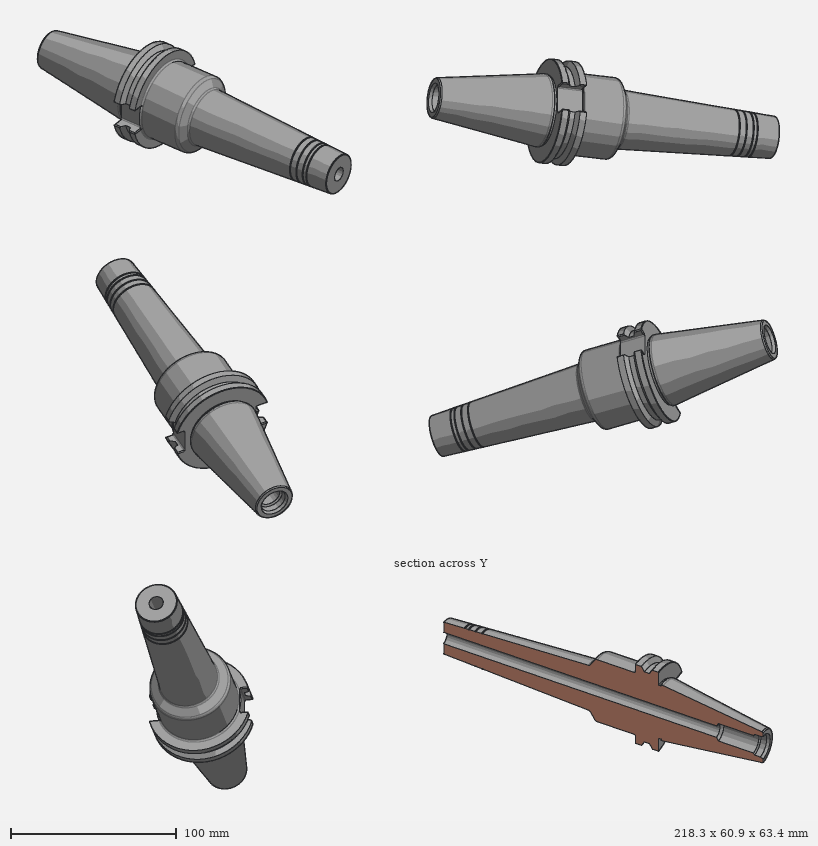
import cadquery as cq
import math

length = 218.3
flange_start = 71.4
flange_end = 87.3

gauge_x = 68.3
gauge_radius = 22.3
taper_slope = 7 / 48
taper_edge_break = 0.5
taper_edge_length = 0.9

neck_start = 69.8
neck_radius = 21.5

flange_radius = 31.7
flange_edge_break = 0.33
groove_centre = 79.5
groove_floor_radius = 28.2
groove_floor_width = 3.3
groove_flank_angle = 30.0

slot_width = 16.2
slot_floor_front = 22.7
slot_floor_back = 25.0
slot_edge_break = 0.7
slot_corner_radius = 0.7
slot_overcut = 2.2

body_radius = 24.9
body_root_radius = 1.0
shoulder_angle = 60.0
shoulder_outer_rounding = 2.5
shoulder_inner_rounding = 1.5

nose_start = 118.5
nose_start_radius = 18.1
nose_angle = 3.0
nose_edge_break = 0.5

ring_groove_width = 0.7
ring_groove_depth = 0.2
ring_groove_starts = [191.6, 196.2, 200.8, 203.5]

mouth_radius = 9.0
mouth_depth = 2.0
pilot_radius = 8.0
pilot_depth = 6.0
thread_radius = 6.8
thread_depth = 30.5
through_radius = 4.4
drill_point_angle = 60.0


def revolve_profile(points):
    """Solid of revolution about X from (x, radius) points, closed along the axis."""
    axis_ends = [(points[-1][0], 0), (points[0][0], 0)]
    return cq.Workplane("XZ").polyline(points + axis_ends).close().revolve(360, (0, 0, 0), (1, 0, 0))


def cone_run(radius_change, angle):
    """Length along the axis in which a cone of this half-angle changes radius."""
    return radius_change / math.tan(math.radians(angle))


def taper_radius(x):
    return gauge_radius - taper_slope * (gauge_x - x)


def nose_radius(x):
    return nose_start_radius - (x - nose_start) * math.tan(math.radians(nose_angle))


def circular_edge(x):
    """Selector for the circular edge centred on the X axis at this x."""
    margin = 0.1
    return cq.selectors.BoxSelector(
        (x - margin, -margin, -margin),
        (x + margin, margin, margin),
    )


def shank():
    """Steep taper and the relieved neck up to the flange."""
    return revolve_profile([
        (0, taper_radius(0) - taper_edge_break),
        (taper_edge_length, taper_radius(taper_edge_length)),
        (gauge_x, gauge_radius),
        (neck_start, gauge_radius),
        (neck_start, neck_radius),
        (flange_start, neck_radius),
    ])


def drive_slot(floor_distance, side):
    """Cutter for one slot; side is -1 for the -Y slot and +1 for the +Y slot."""
    half_width = slot_width / 2
    wide_half = half_width + slot_edge_break
    outer = flange_radius + slot_overcut
    rim = math.sqrt(flange_radius**2 - wide_half**2)

    section = (
        cq.Workplane("YZ", origin=(flange_start, 0, 0))
        .polyline([
            (floor_distance, -half_width),
            (rim - slot_edge_break, -half_width),
            (rim, -wide_half),
            (outer, -wide_half),
            (outer, wide_half),
            (rim, wide_half),
            (rim - slot_edge_break, half_width),
            (floor_distance, half_width),
        ])
        .close()
        .extrude(flange_end - flange_start)
        .faces("<Y")
        .edges("|X")
        .fillet(slot_corner_radius)
    )

    flare_floor = floor_distance + slot_corner_radius

    flares = (
        cq.Workplane("XZ", origin=(0, flare_floor, 0))
        .polyline([
            (flange_start, -wide_half),
            (flange_start + slot_edge_break, -half_width),
            (flange_end - slot_edge_break, -half_width),
            (flange_end, -wide_half),
            (flange_end, wide_half),
            (flange_end - slot_edge_break, half_width),
            (flange_start + slot_edge_break, half_width),
            (flange_start, wide_half),
        ])
        .close()
        .extrude(flare_floor - outer)
    )
    cutter = section.union(flares)
    return cutter if side > 0 else cutter.mirror("XZ")


def flange():
    """Flange with its V-groove and both drive slots."""
    groove_depth = flange_radius - groove_floor_radius
    half_floor = groove_floor_width / 2
    half_mouth = half_floor + groove_depth * math.tan(math.radians(groove_flank_angle))
    ring = revolve_profile([
        (flange_start, flange_radius - flange_edge_break),
        (flange_start + flange_edge_break, flange_radius),
        (groove_centre - half_mouth, flange_radius),
        (groove_centre - half_floor, groove_floor_radius),
        (groove_centre + half_floor, groove_floor_radius),
        (groove_centre + half_mouth, flange_radius),
        (flange_end, flange_radius),
    ])
    return ring.cut(drive_slot(slot_floor_front, -1)).cut(drive_slot(slot_floor_back, 1))


def body_and_nose():
    """Cylindrical body, rounded shoulder and slender nose cone."""
    shoulder_start = nose_start - cone_run(body_radius - nose_start_radius, shoulder_angle)
    body = revolve_profile([
        (flange_end, body_radius),
        (shoulder_start, body_radius),
        (nose_start, nose_start_radius),
        (length - nose_edge_break, nose_radius(length - nose_edge_break)),
        (length, nose_radius(length) - nose_edge_break),
    ])
    body = body.edges(circular_edge(shoulder_start)).fillet(shoulder_outer_rounding)
    return body.edges(circular_edge(nose_start)).fillet(shoulder_inner_rounding)


def body_root():
    """Concave fillet where the body meets the rear face of the flange."""
    return (
        cq.Workplane("XZ")
        .moveTo(flange_end, 0)
        .lineTo(flange_end, body_radius + body_root_radius)
        .radiusArc((flange_end + body_root_radius, body_radius), -body_root_radius)
        .lineTo(flange_end + body_root_radius, 0)
        .close()
        .revolve(360, (0, 0, 0), (1, 0, 0))
    )


def ring_groove(start):
    """Cutter for one narrow groove, reaching slightly past the nose surface."""
    outer = nose_radius(start) + ring_groove_depth
    inner = nose_radius(start + ring_groove_width / 2) - ring_groove_depth
    return (
        cq.Workplane("YZ", origin=(start, 0, 0))
        .circle(outer)
        .circle(inner)
        .extrude(ring_groove_width)
    )


def bore():
    """Cutter for the stepped bore that runs the full length."""
    pilot_end = pilot_depth + cone_run(pilot_radius - thread_radius, drill_point_angle)
    thread_end = thread_depth + cone_run(thread_radius - through_radius, drill_point_angle)
    return revolve_profile([
        (0, mouth_radius),
        (mouth_depth, pilot_radius),
        (pilot_depth, pilot_radius),
        (pilot_end, thread_radius),
        (thread_depth, thread_radius),
        (thread_end, through_radius),
        (length, through_radius),
    ])


result = shank().union(flange()).union(body_root()).union(body_and_nose())
for groove_start in ring_groove_starts:
    result = result.cut(ring_groove(groove_start))
result = result.cut(bore())